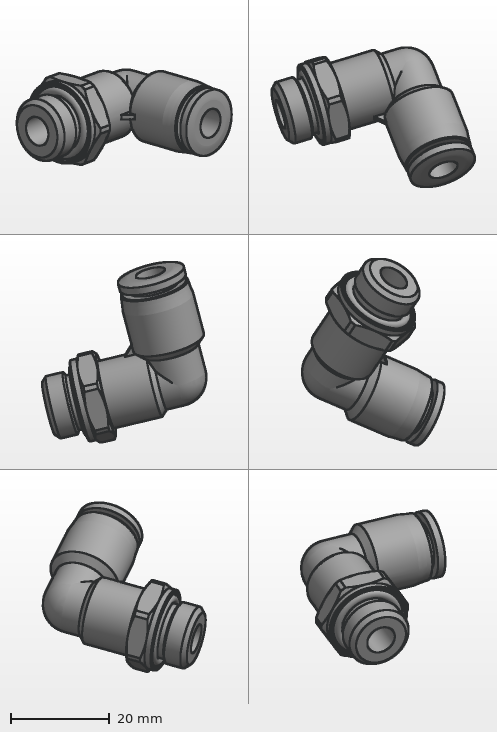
import cadquery as cq
import math


bore_radius = 3.03
nut_top_y = -15.0

pipe_radius = 5.8
sleeve_radius = 7.02
sleeve_cone_end_y = -4.95
sleeve_cone_start_y = sleeve_cone_end_y + (sleeve_radius - pipe_radius)

socket_radius = 7.4
socket_cone_start_x = 6.1
socket_start_x = socket_cone_start_x + (socket_radius - pipe_radius)
socket_taper_x = 16.5
rim_start_x = 18.45
rim_edge_x = 19.57
rim_end_x = 19.7
taper_end_radius = 7.12
rim_radius = 7.02
rim_face_radius = 6.67
neck_radius = 4.9
collar_start_x = 20.88
collar_edge_x = 22.5
collar_end_x = 22.9
collar_radius = 6.9
collar_face_radius = 4.8
dome_mid_radius = 6.0
dome_mid_x = 22.77

gusset_reach = 16.35
gusset_thickness = 1.0

nut_across_flats = 17.0
nut_across_corners = nut_across_flats / math.cos(math.pi / 6)
nut_corner_radius = 9.5
nut_bottom_y = -19.0
nut_chamfer_angle = 30

flange_radius = nut_across_flats / 2
flange_face_y = -20.5
flange_chamfer = 0.2
groove_radius = 7.95
relief_radius = 5.7
relief_end_y = -21.98
thread_radius = 6.5
thread_start_y = -22.45
stud_end_y = socket_radius - 34.4
thread_chamfer = 1.03

bead_section_radius = 0.93
bead_ring_radius = relief_radius + bead_section_radius
bead_center_y = -20.1


def turned_about_y(profile):
    """Revolve a closed profile, drawn in XY, about the Y axis."""
    return profile.close().revolve(360, (0, 0, 0), (0, 1, 0))


def turned_about_x(profile):
    """Revolve a closed profile, drawn in XY, about the X axis."""
    return profile.close().revolve(360, (0, 0, 0), (1, 0, 0))


def make_bore():
    """Bent passage: a bore along each leg with a ball at the corner."""
    stud_bore = cq.Workplane("XZ").circle(bore_radius).extrude(-stud_end_y)
    tube_bore = cq.Workplane("YZ").circle(bore_radius).extrude(collar_end_x)
    corner = cq.Workplane("XY").sphere(bore_radius)
    return stud_bore.union(tube_bore).union(corner)


def make_stud_leg():
    return turned_about_y(
        cq.Workplane("XY")
        .moveTo(0, 0)
        .lineTo(pipe_radius, 0)
        .lineTo(pipe_radius, sleeve_cone_start_y)
        .lineTo(sleeve_radius, sleeve_cone_end_y)
        .lineTo(sleeve_radius, nut_top_y)
        .lineTo(0, nut_top_y)
    )


def make_tube_leg():
    """Tube socket with its tapered rim, and the release collar on a neck."""
    return turned_about_x(
        cq.Workplane("XY")
        .moveTo(0, 0)
        .lineTo(0, pipe_radius)
        .lineTo(socket_cone_start_x, pipe_radius)
        .lineTo(socket_start_x, socket_radius)
        .lineTo(socket_taper_x, socket_radius)
        .lineTo(rim_start_x, taper_end_radius)
        .lineTo(rim_edge_x, rim_radius)
        .lineTo(rim_end_x, rim_face_radius)
        .lineTo(rim_end_x, neck_radius)
        .lineTo(collar_start_x, neck_radius)
        .lineTo(collar_start_x, collar_radius)
        .lineTo(collar_edge_x, collar_radius)
        .threePointArc((dome_mid_x, dome_mid_radius), (collar_end_x, collar_face_radius))
        .lineTo(collar_end_x, 0)
    )


def make_gusset():
    """Thin web that fills the inner corner between the two legs."""
    return (
        cq.Workplane("XY")
        .moveTo(0, 0)
        .lineTo(gusset_reach, 0)
        .lineTo(sleeve_radius, sleeve_radius - gusset_reach)
        .lineTo(0, sleeve_radius - gusset_reach)
        .close()
        .extrude(gusset_thickness / 2, both=True)
    )


def make_elbow(bore):
    corner = cq.Workplane("XY").sphere(pipe_radius)
    outside = make_stud_leg().union(make_tube_leg()).union(corner).union(make_gusset())
    return outside.cut(bore)


def make_nut():
    """Hexagon with flats facing +Z and -Z, its corners rounded and chamfered."""
    hexagon = (
        cq.Workplane("XZ", origin=(0, nut_top_y, 0))
        .polygon(6, nut_across_corners)
        .extrude(nut_top_y - nut_bottom_y)
    )
    chamfer_height = (nut_corner_radius - flange_radius) * math.tan(math.radians(nut_chamfer_angle))
    envelope = turned_about_y(
        cq.Workplane("XY")
        .moveTo(0, nut_top_y)
        .lineTo(flange_radius, nut_top_y)
        .lineTo(nut_corner_radius, nut_top_y - chamfer_height)
        .lineTo(nut_corner_radius, nut_bottom_y + chamfer_height)
        .lineTo(flange_radius, nut_bottom_y)
        .lineTo(0, nut_bottom_y)
    )
    return hexagon.intersect(envelope)


def make_shank():
    """Flange with a seal groove in its face, thread relief and plain thread."""
    return turned_about_y(
        cq.Workplane("XY")
        .moveTo(0, nut_bottom_y)
        .lineTo(flange_radius, nut_bottom_y)
        .lineTo(flange_radius, flange_face_y + flange_chamfer)
        .lineTo(flange_radius - flange_chamfer, flange_face_y)
        .lineTo(groove_radius, flange_face_y)
        .lineTo(bead_ring_radius + bead_section_radius, bead_center_y)
        .lineTo(relief_radius, bead_center_y)
        .lineTo(relief_radius, relief_end_y)
        .lineTo(thread_radius, thread_start_y)
        .lineTo(thread_radius, stud_end_y + thread_chamfer)
        .lineTo(thread_radius - thread_chamfer, stud_end_y)
        .lineTo(0, stud_end_y)
    )


def make_seal_bead():
    """Half-round bead standing out of the flange groove."""
    return turned_about_y(
        cq.Workplane("XY")
        .moveTo(relief_radius, bead_center_y)
        .threePointArc(
            (bead_ring_radius, bead_center_y - bead_section_radius),
            (bead_ring_radius + bead_section_radius, bead_center_y),
        )
    )


def make_stud(bore):
    return make_nut().union(make_shank()).union(make_seal_bead()).cut(bore)


bore = make_bore()
elbow = make_elbow(bore)
stud = make_stud(bore)

result = cq.Compound.makeCompound([elbow.val(), stud.val()])